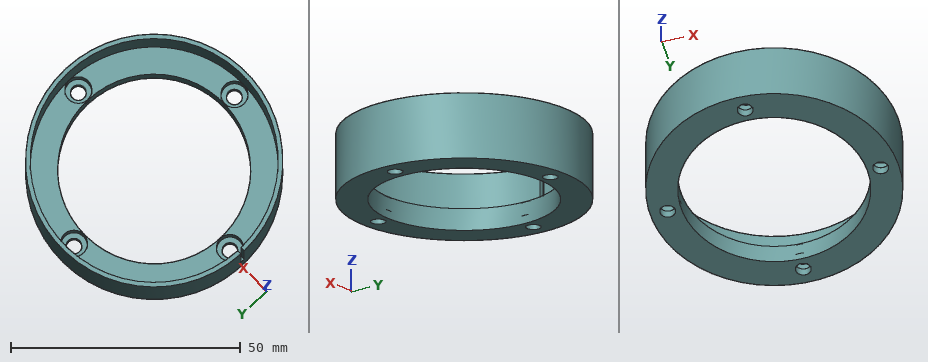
import cadquery as cq

outer_diameter = 56.0
height = 15.0
wall_thickness = 1.0
floor_thickness = 5.0
bore_diameter = 42.0

hole_count = 4
hole_circle_radius = 24.0
hole_diameter = 3.4
counterbore_diameter = 5.9
counterbore_depth = 3.0

slit_width = 1.0

outer_radius = outer_diameter / 2
recess_diameter = outer_diameter - 2 * wall_thickness
wall_height = height - floor_thickness


def make_ring():
    """Cup-shaped ring: thin wall standing on a flat floor with a large bore."""
    body = cq.Workplane("XY").circle(outer_radius).extrude(height)
    recess = (
        cq.Workplane("XY")
        .workplane(offset=floor_thickness)
        .circle(recess_diameter / 2)
        .extrude(wall_height)
    )
    bore = cq.Workplane("XY").circle(bore_diameter / 2).extrude(height)
    return body.cut(recess).cut(bore)


def make_screw_holes():
    """Cutters for the through holes and their counterbores."""
    holes = (
        cq.Workplane("XY")
        .polarArray(hole_circle_radius, 0, 360, hole_count)
        .circle(hole_diameter / 2)
        .extrude(floor_thickness)
    )
    counterbores = (
        cq.Workplane("XY")
        .workplane(offset=floor_thickness - counterbore_depth)
        .polarArray(hole_circle_radius, 0, 360, hole_count)
        .circle(counterbore_diameter / 2)
        .extrude(counterbore_depth)
    )
    return holes.union(counterbores)


def make_slit():
    """Cutter for the slit, running from the floor to the rim."""
    slit_length = 2 * wall_thickness
    return (
        cq.Workplane("XY")
        .box(slit_length, slit_width, wall_height, centered=(False, True, False))
        .translate((-outer_radius - wall_thickness / 2, 0, floor_thickness))
    )


result = make_ring().cut(make_screw_holes()).cut(make_slit())